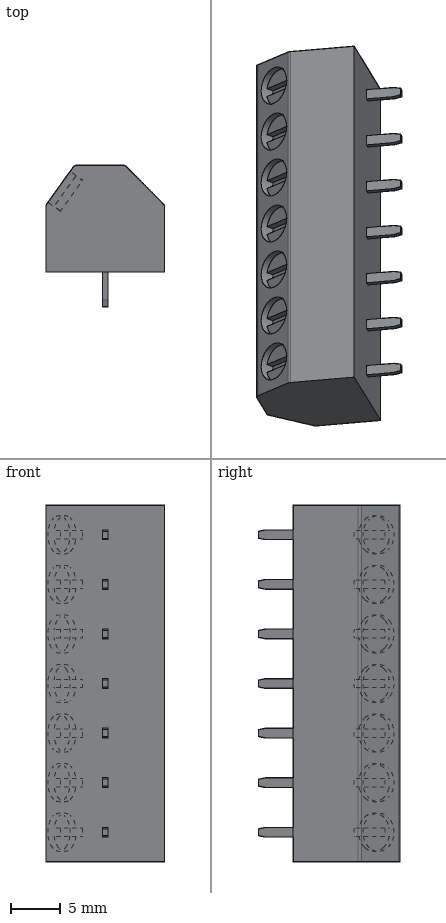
import cadquery as cq

body_width = 12.0
body_depth = 10.8
body_height = 36.0
shoulder_height = 6.75
left_slope_run = 2.9
right_slope_run = 4.0
slope_edge_radius = 0.5

terminal_count = 7
terminal_pitch = 5.0

screw_diameter = 3.85
screw_offset = -0.2
screw_recess_depth = 0.75
screw_slot_width = 0.85
screw_slot_depth = 0.8

pin_length = 3.5
pin_thickness = 0.6
pin_width = 1.0
pin_tip_length = 0.7
pin_tip_inset = 0.15

half_width = body_width / 2
left_shoulder = (-half_width, shoulder_height)
left_ridge = (-half_width + left_slope_run, body_depth)
right_ridge = (half_width - right_slope_run, body_depth)
right_shoulder = (half_width, shoulder_height)


def terminal_heights():
    middle = (terminal_count - 1) / 2
    return [(index - middle) * terminal_pitch for index in range(terminal_count)]


def make_housing():
    """Six-sided prism along Z with the ends of both slopes rounded."""
    outline = [
        (-half_width, 0),
        left_shoulder,
        left_ridge,
        right_ridge,
        right_shoulder,
        (half_width, 0),
    ]
    prism = cq.Workplane("XY").polyline(outline).close().extrude(body_height / 2, both=True)
    return prism.edges("|Z").edges("not <Y").fillet(slope_edge_radius)


def make_screw_recess(z):
    """Round recess normal to the -X slope, with a driver slot across its floor."""
    slope_rise = body_depth - shoulder_height
    slope_middle = (
        (left_shoulder[0] + left_ridge[0]) / 2,
        (left_shoulder[1] + left_ridge[1]) / 2,
        z,
    )
    slope_plane = cq.Plane(
        origin=slope_middle,
        xDir=(left_slope_run, slope_rise, 0),
        normal=(-slope_rise, left_slope_run, 0),
    )
    screw_face = cq.Workplane(slope_plane).center(screw_offset, 0)
    full_depth = screw_recess_depth + screw_slot_depth
    recess = screw_face.circle(screw_diameter / 2).extrude(-screw_recess_depth)
    bore = screw_face.circle(screw_diameter / 2).extrude(-full_depth)
    slot = screw_face.rect(screw_diameter, screw_slot_width).extrude(-full_depth)
    return recess.union(slot.intersect(bore))


def make_pin(z):
    """Flat pin along -Y whose tip narrows in Z."""
    half_pin = pin_width / 2
    half_tip = half_pin - pin_tip_inset
    tip_start = -pin_length + pin_tip_length
    outline = [
        (0, z - half_pin),
        (tip_start, z - half_pin),
        (-pin_length, z - half_tip),
        (-pin_length, z + half_tip),
        (tip_start, z + half_pin),
        (0, z + half_pin),
    ]
    return cq.Workplane("YZ").polyline(outline).close().extrude(pin_thickness / 2, both=True)


result = make_housing()
for terminal_z in terminal_heights():
    result = result.cut(make_screw_recess(terminal_z))
    result = result.union(make_pin(terminal_z))